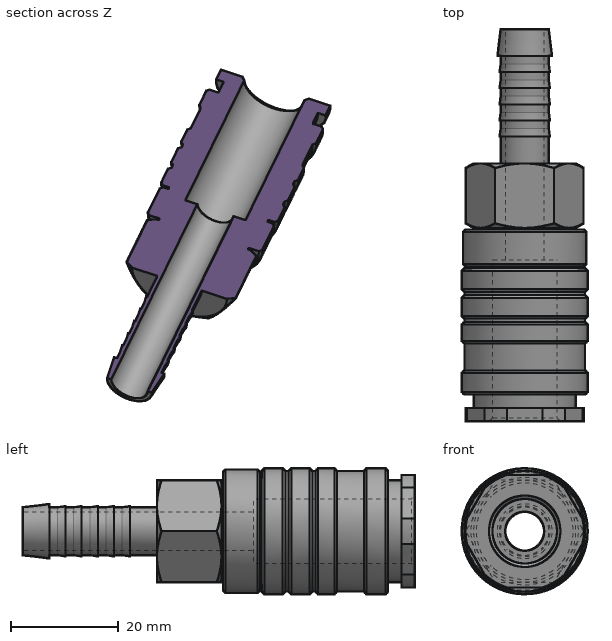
import cadquery as cq
import math


total_length = 73.0
flange_end = 2.5
sleeve_start = 5.0
nut_start = 36.0
nut_end = 48.0

hexagon_half_angle = math.radians(30)

flange_across_flats = 21.0
flange_corner_radius = 11.0
neck_radius = 9.5

ring_radius = 11.75
sleeve_body_radius = 11.25
rear_band_radius = 11.5
rear_groove_radius = 10.0
nut_neck_radius = 9.0
ring_chamfer = 0.5
ring_spans = [(sleeve_start, 9.5), (14.5, 18.5), (19.1, 23.5), (24.1, 28.5)]
rear_band_start = 28.8
rear_band_end = 35.75

nut_across_flats = 19.0
nut_chamfer_angle = math.radians(30)

stem_radius = 4.5
rib_radius = 4.7
rib_count = 5
rib_pitch = 3.0
rib_length = 1.5
head_length = 5.0
head_radius = 5.1

through_radius = 3.6
socket_radius = 6.0
socket_depth = 30.0
mouth_radius = 6.65
mouth_chamfer = mouth_radius - socket_radius


def revolve_profile(points):
    """Revolve a closed (radius, Y) outline around the Y axis."""
    return cq.Workplane("XY").polyline(points).close().revolve(360, (0, 0, 0), (0, 1, 0))


def cylinder(radius, start, end):
    """Cylinder about the Y axis between two stations."""
    return revolve_profile([(0, start), (radius, start), (radius, end), (0, end)])


def cone(start_radius, start, end_radius, end):
    """Cone about the Y axis between two stations."""
    return revolve_profile([(0, start), (start_radius, start), (end_radius, end), (0, end)])


def chamfered_band(radius, start, end):
    """Cylindrical band with both rims chamfered."""
    rim_radius = radius - ring_chamfer
    return revolve_profile([
        (0, start),
        (rim_radius, start),
        (radius, start + ring_chamfer),
        (radius, end - ring_chamfer),
        (rim_radius, end),
        (0, end),
    ])


def hexagon(across_flats, start, end):
    """Hexagonal prism along Y with corners on the X axis."""
    across_corners = across_flats / math.cos(hexagon_half_angle)
    return cq.Workplane("XZ", origin=(0, start, 0)).polygon(6, across_corners).extrude(start - end)


def make_flange():
    """Front flange and the neck joining it to the sleeve."""
    flange = hexagon(flange_across_flats, 0, flange_end)
    flange = flange.intersect(cylinder(flange_corner_radius, 0, flange_end))
    return flange.union(cylinder(neck_radius, flange_end, sleeve_start))


def make_sleeve():
    """Grip sleeve: a core with raised rings, a wider rear band and a short neck to the nut."""
    last_ring_end = ring_spans[-1][1]
    sleeve = cylinder(sleeve_body_radius, sleeve_start + ring_chamfer, last_ring_end - ring_chamfer)
    for start, end in ring_spans:
        sleeve = sleeve.union(chamfered_band(ring_radius, start, end))
    sleeve = sleeve.union(cylinder(rear_groove_radius, last_ring_end, rear_band_start))
    sleeve = sleeve.union(cylinder(nut_neck_radius, rear_band_end, nut_start))
    return sleeve.union(chamfered_band(rear_band_radius, rear_band_start, rear_band_end))


def make_nut():
    """Hexagonal nut with its corners chamfered at both ends."""
    face_radius = nut_across_flats / 2
    corner_radius = face_radius / math.cos(hexagon_half_angle)
    chamfer_length = (corner_radius - face_radius) * math.tan(nut_chamfer_angle)
    envelope = revolve_profile([
        (0, nut_start),
        (face_radius, nut_start),
        (corner_radius, nut_start + chamfer_length),
        (corner_radius, nut_end - chamfer_length),
        (face_radius, nut_end),
        (0, nut_end),
    ])
    return hexagon(nut_across_flats, nut_start, nut_end).intersect(envelope)


def make_barb():
    """Hose stem with conical ribs and a tapered head, all widening toward the nut."""
    head_start = total_length - head_length
    barb = cylinder(stem_radius, nut_end, total_length)
    barb = barb.union(cone(head_radius, head_start, stem_radius, total_length))
    for index in range(1, rib_count + 1):
        rib_start = head_start - index * rib_pitch
        barb = barb.union(cone(rib_radius, rib_start, stem_radius, rib_start + rib_length))
    return barb


def make_bore():
    """Through bore with a wider socket and a chamfered mouth at the front."""
    bore = cylinder(through_radius, 0, total_length)
    bore = bore.union(cylinder(socket_radius, 0, socket_depth))
    return bore.union(cone(mouth_radius, 0, socket_radius, mouth_chamfer))


body = make_flange().union(make_sleeve()).union(make_nut()).union(make_barb())
result = body.cut(make_bore())